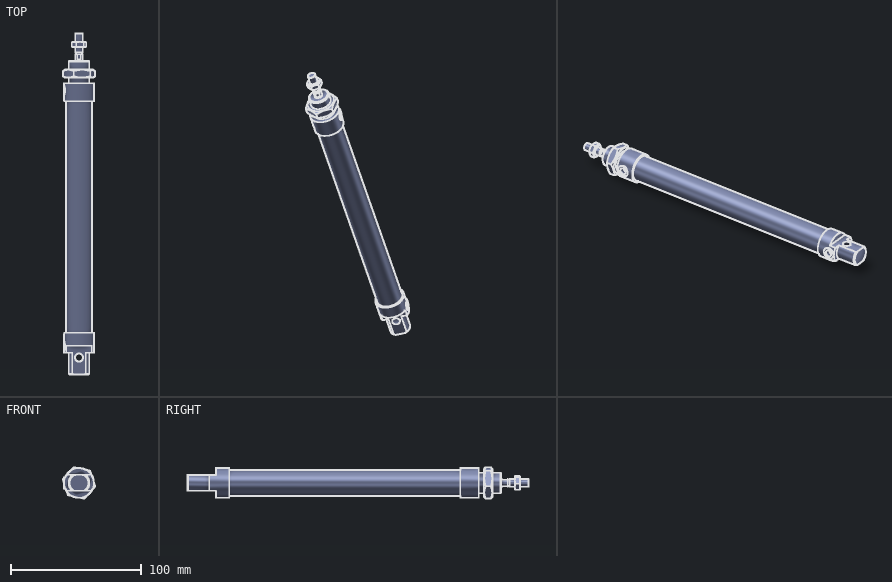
import cadquery as cq
import math

LENGTH = 261.0

LUG_END = 16.7
FLAT_END = 22.0
REAR_CAP_END = 32.0
LUG_THICKNESS = 12.3
PIN_HOLE_DIA = 6.0
PIN_HOLE_Y = 13.0
END_CHAMFER = 0.8

TUBE_DIA = 20.0
CAP_DIA = 23.0
NECK_DIA = 16.0
FRONT_CAP_START = LENGTH - 52.2
FRONT_CAP_END = LENGTH - 38.0
NECK_END = LENGTH - 21.0

PORT_BOSS_DIA = 9.0
PORT_DIA = 5.0
PORT_CORE_DIA = 4.2
PORT_THREAD_DEPTH = 4.0
PORT_DEPTH = 6.5
REAR_PORT_Y = 22.0
FRONT_PORT_Y = LENGTH - 43.5

ROD_DIA = 6.0
ROD_GROOVE_DIA = 5.0
GROOVE_START = LENGTH - 16.0
GROOVE_END = LENGTH - 14.5
ROD_CHAMFER = 0.3
WRENCH_FLAT_WIDTH = 5.2
WRENCH_FLAT_START = LENGTH - 20.0
WRENCH_FLAT_END = LENGTH - 16.2

MOUNT_NUT_Y = LENGTH - 34.2
MOUNT_NUT_THICKNESS = 6.5
MOUNT_NUT_CORNER_DIA = 25.3
MOUNT_NUT_TILT = 12.0
ROD_NUT_Y = LENGTH - 10.7
ROD_NUT_THICKNESS = 4.2
ROD_NUT_CORNER_DIA = 11.5
ROD_NUT_TILT = 8.0
HEX_SIDES = 6
NUT_CHAMFER_ANGLE = 30.0
NUT_FACE_RATIO = 0.95


def rod_along_y(diameter, start, end):
    """Round bar on the Y axis between two Y positions."""
    profile = cq.Workplane("XZ", origin=(0, start, 0)).circle(diameter / 2)
    return profile.extrude(start - end)


def flat_cutters(thickness, start, end):
    """Two blocks that leave a slab of the given Z thickness between start and end."""
    block = CAP_DIA
    length = end - start
    cutters = cq.Workplane("XY")
    for side in (-1, 1):
        centre = (0, (start + end) / 2, side * (thickness + block) / 2)
        cutters = cutters.add(cq.Workplane("XY", origin=centre).box(2 * block, length, block))
    return cutters.combine()


def make_port_boss(y):
    """Round pad on the -X side whose flat face is tangent to the caps."""
    plane = cq.Workplane("YZ", origin=(-CAP_DIA / 2, y, 0))
    return plane.circle(PORT_BOSS_DIA / 2).extrude(PORT_DEPTH)


def make_port_hole(y):
    """Cutter for one air port: a stepped blind hole in from the -X side."""
    plane = cq.Workplane("YZ", origin=(-CAP_DIA / 2, y, 0))
    thread = plane.circle(PORT_DIA / 2).extrude(PORT_THREAD_DEPTH)
    core = plane.circle(PORT_CORE_DIA / 2).extrude(PORT_DEPTH)
    return thread.union(core)


def make_housing():
    """Tube with both end caps, clevis lug and threaded neck, bored for the rod."""
    lug = rod_along_y(NECK_DIA, 0, LUG_END).faces("<Y").chamfer(END_CHAMFER)
    rear_cap = rod_along_y(CAP_DIA, LUG_END, REAR_CAP_END)
    tube = rod_along_y(TUBE_DIA, REAR_CAP_END, FRONT_CAP_START)
    front_cap = rod_along_y(CAP_DIA, FRONT_CAP_START, FRONT_CAP_END)
    neck = rod_along_y(NECK_DIA, FRONT_CAP_END, NECK_END).faces(">Y").chamfer(END_CHAMFER)
    body = lug.union(rear_cap).union(tube).union(front_cap).union(neck)
    body = body.cut(flat_cutters(LUG_THICKNESS, 0, FLAT_END))
    pin_hole = cq.Workplane("XY").center(0, PIN_HOLE_Y).circle(PIN_HOLE_DIA / 2)
    body = body.cut(pin_hole.extrude(LUG_THICKNESS, both=True))
    for y in (REAR_PORT_Y, FRONT_PORT_Y):
        body = body.union(make_port_boss(y)).cut(make_port_hole(y))
    return body.cut(rod_along_y(ROD_DIA, FRONT_CAP_END, NECK_END))


def make_piston_rod():
    """Rod with wrench flats, a thread relief groove and a chamfered tip."""
    shank = rod_along_y(ROD_DIA, FRONT_CAP_END, GROOVE_START)
    groove = rod_along_y(ROD_GROOVE_DIA, GROOVE_START, GROOVE_END)
    thread = rod_along_y(ROD_DIA, GROOVE_END, LENGTH).faces(">Y").chamfer(ROD_CHAMFER)
    shank = shank.cut(flat_cutters(WRENCH_FLAT_WIDTH, WRENCH_FLAT_START, WRENCH_FLAT_END))
    return shank.union(groove).union(thread)


def make_nut(y, thickness, corner_dia, tilt, bore_dia):
    """Hexagon nut on the Y axis with a conical chamfer at both faces."""
    hexagon = cq.Workplane("XZ", origin=(0, y, 0)).polygon(HEX_SIDES, corner_dia).extrude(-thickness)
    hexagon = hexagon.rotate((0, 0, 0), (0, 1, 0), tilt)
    corner_radius = corner_dia / 2
    face_radius = NUT_FACE_RATIO * corner_radius * math.cos(math.pi / HEX_SIDES)
    drop = (corner_radius - face_radius) * math.tan(math.radians(NUT_CHAMFER_ANGLE))
    envelope = (
        cq.Workplane("XY")
        .moveTo(0, y)
        .lineTo(face_radius, y)
        .lineTo(corner_radius, y + drop)
        .lineTo(corner_radius, y + thickness - drop)
        .lineTo(face_radius, y + thickness)
        .lineTo(0, y + thickness)
        .close()
        .revolve(360, (0, 0), (0, 1))
    )
    return hexagon.intersect(envelope).cut(rod_along_y(bore_dia, y, y + thickness))


housing = make_housing()
piston_rod = make_piston_rod()
mounting_nut = make_nut(
    MOUNT_NUT_Y, MOUNT_NUT_THICKNESS, MOUNT_NUT_CORNER_DIA, MOUNT_NUT_TILT, NECK_DIA
)
rod_nut = make_nut(ROD_NUT_Y, ROD_NUT_THICKNESS, ROD_NUT_CORNER_DIA, ROD_NUT_TILT, ROD_DIA)

result = cq.Compound.makeCompound(
    [housing.val(), piston_rod.val(), mounting_nut.val(), rod_nut.val()]
)